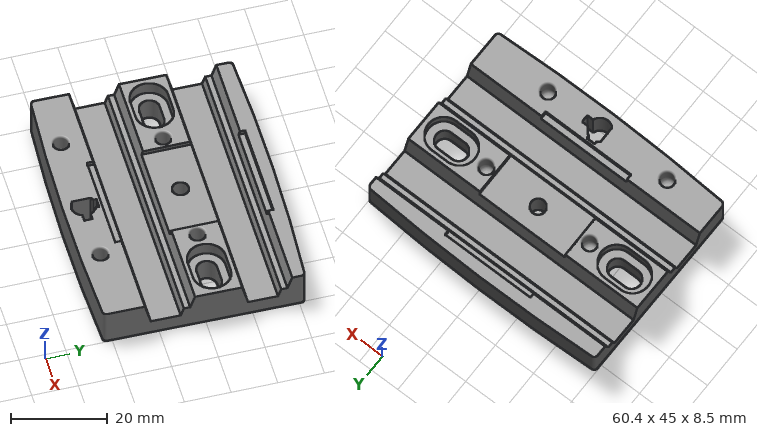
import cadquery as cq
import math

height = 8.5
plate_length = 60.0
plate_depth = 44.95
side_depth = 43.1
plate_turn = -0.6
corner_radius = 0.9

middle_row_y = 2.7
row_pitch = 20.8
front_row_y = middle_row_y - row_pitch

groove_floor_z = 3.5
groove_ledge_z = 5.5
groove_front_offset = 5.1
groove_back_offset = 15.75
groove_ledge_width = 1.3
front_wall_angle = 14.0
back_wall_angle = 19.0
cut_length = 2 * plate_length

recess_x = 0.1
recess_length = 22.35
recess_depth = 0.95
recess_front_y = -14.3
recess_back_y = 19.6

slot_x = 22.65
slot_length = 8.05
slot_width = 4.4
slot_bore_length = 12.2
slot_bore_width = 8.1
slot_bore_depth = 3.0

blind_x = 13.55
blind_outer_x = -17.7
blind_diameter = 3.25
blind_rim_radius = 0.5
blind_bottom_radius = 0.95
blind_depth = 4.6

center_hole_diameter = 3.5

key_radius = 2.6
key_flat_x = -1.7
key_back_arm_width = 2.05
key_back_arm_reach = 3.1
key_side_arm_width = 1.75
key_side_arm_reach = 4.0


def make_plate():
    half_length = plate_length / 2
    half_side = side_depth / 2
    half_depth = plate_depth / 2
    return (
        cq.Workplane("XY")
        .moveTo(-half_length, -half_side)
        .threePointArc((0, -half_depth), (half_length, -half_side))
        .lineTo(half_length, half_side)
        .threePointArc((0, half_depth), (-half_length, half_side))
        .close()
        .extrude(height)
        .edges("|Z")
        .fillet(corner_radius)
        .rotate((0, 0, 0), (0, 0, 1), plate_turn)
    )


def make_groove(row_y):
    """Groove behind a row, with one plain wall and one stepped wall."""
    front_slope = math.tan(math.radians(front_wall_angle))
    back_slope = math.tan(math.radians(back_wall_angle))
    front_top_y = row_y + groove_front_offset
    front_floor_y = front_top_y + (height - groove_floor_z) * front_slope
    back_top_y = row_y + groove_back_offset
    ledge_back_y = back_top_y - (height - groove_ledge_z) * back_slope
    ledge_front_y = ledge_back_y - groove_ledge_width
    back_floor_y = ledge_front_y - (groove_ledge_z - groove_floor_z) * back_slope
    return (
        cq.Workplane("YZ")
        .polyline([
            (front_top_y, height),
            (front_floor_y, groove_floor_z),
            (back_floor_y, groove_floor_z),
            (ledge_front_y, groove_ledge_z),
            (ledge_back_y, groove_ledge_z),
            (back_top_y, height),
        ])
        .close()
        .extrude(cut_length / 2, both=True)
    )


def make_recess():
    return (
        cq.Workplane("XY", origin=(recess_x, (recess_front_y + recess_back_y) / 2, height - recess_depth))
        .rect(recess_length, recess_back_y - recess_front_y)
        .extrude(recess_depth)
    )


def make_mounting_slot(x):
    opening = cq.Workplane("XY").center(x, middle_row_y).slot2D(slot_length, slot_width).extrude(height)
    bore = (
        cq.Workplane("XY", origin=(x, middle_row_y, height - slot_bore_depth))
        .slot2D(slot_bore_length, slot_bore_width)
        .extrude(slot_bore_depth)
    )
    return opening.union(bore)


def make_blind_hole(x, y):
    """Blind hole with a flared rim and a rounded bottom corner."""
    bore = (
        cq.Workplane("XY", origin=(x, y, height - blind_depth))
        .circle(blind_diameter / 2)
        .extrude(blind_depth)
        .faces("<Z")
        .edges()
        .fillet(blind_bottom_radius)
    )
    wall_radius = blind_diameter / 2
    arc_step = blind_rim_radius * (1 - math.sqrt(0.5))
    flare = (
        cq.Workplane("XZ", origin=(x, y, height))
        .lineTo(wall_radius + blind_rim_radius, 0)
        .threePointArc((wall_radius + arc_step, -arc_step), (wall_radius, -blind_rim_radius))
        .lineTo(0, -blind_rim_radius)
        .close()
        .revolve(360, (0, 0, 0), (0, 1, 0))
    )
    return bore.union(flare)


def make_round(radius):
    return cq.Workplane("XY").circle(radius).extrude(height)


def make_keyhole():
    flat_limit = cq.Workplane("XY").rect(key_radius - key_flat_x, 2 * key_radius).extrude(height)
    body = make_round(key_radius).intersect(flat_limit.translate(((key_radius + key_flat_x) / 2, 0, 0)))
    back_arm = (
        cq.Workplane("XY")
        .center(0, key_back_arm_reach / 2)
        .rect(key_back_arm_width, key_back_arm_reach)
        .extrude(height)
    )
    side_arm = (
        cq.Workplane("XY")
        .center(key_side_arm_reach / 2, 0)
        .rect(key_side_arm_reach, key_side_arm_width)
        .extrude(height)
        .intersect(make_round(key_side_arm_reach))
    )
    return body.union(back_arm).union(side_arm).translate((0, front_row_y, 0))


result = make_plate().cut(make_recess())

for row_y in (middle_row_y, front_row_y):
    result = result.cut(make_groove(row_y))

for x in (-slot_x, slot_x):
    result = result.cut(make_mounting_slot(x))

blind_holes = [
    (-blind_x, middle_row_y),
    (blind_x, middle_row_y),
    (blind_outer_x, front_row_y),
    (blind_x, front_row_y),
]
for x, y in blind_holes:
    result = result.cut(make_blind_hole(x, y))

result = result.cut(make_round(center_hole_diameter / 2).translate((0, middle_row_y, 0)))
result = result.cut(make_keyhole())